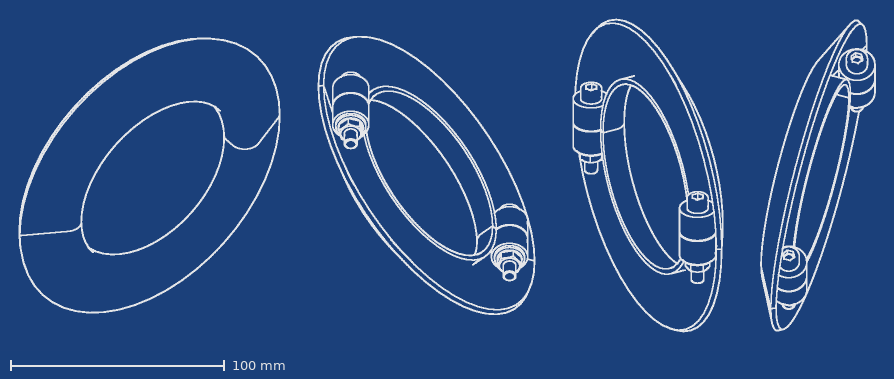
import cadquery as cq
import math


BARREL_DIAMETER = 17.0
BARREL_TOP = 12.9
BARREL_GAP = 0.5
SCREW_Y = 55.5

DEPTH = 23.0
RING_BACK_X = DEPTH - BARREL_DIAMETER / 2
RING_RADIUS = 75.0
BORE_RADIUS = 44.4
WALL = 2.5
BEND_OUTER_RADIUS = 7.0
CONE_ANGLE = math.radians(28)

SHANK_RADIUS = 3.0
SHANK_LENGTH = 39.6
TIP_CHAMFER = 0.5
HEAD_RADIUS = 5.0
HEAD_HEIGHT = 6.3
HEAD_FILLET = 0.9
SOCKET_FLATS = 5.0
SOCKET_DEPTH = 3.0
DRILL_RADIUS = 2.2
DRILL_SLOPE = math.radians(30)

NUT_FLATS = 10.0
NUT_HEIGHT = 6.3
CORNER_BEVEL_HEIGHT = 0.6
CORNER_BEVEL_WIDTH = 1.0
FLANGE_RADIUS = 7.0
FLANGE_HEIGHT = 1.8
FLANGE_TAPER_HEIGHT = 0.5
FLANGE_TAPER_WIDTH = 1.2

SIDES = (1, -1)
DIRECTIONS = (1, -1)
NUT_TURNS = {1: 0, -1: 30}

HEX_CORNER_RATIO = 2 / math.sqrt(3)


def make_ring():
    """Cone, bend and bore tube of constant wall, turned about X."""
    bend_x = RING_BACK_X - BEND_OUTER_RADIUS
    bend_r = BORE_RADIUS + BEND_OUTER_RADIUS
    bend_inner_radius = BEND_OUTER_RADIUS - WALL

    def on_bend(radius, angle):
        return (bend_x + radius * math.cos(angle), bend_r + radius * math.sin(angle))

    middle_angle = (CONE_ANGLE - math.pi / 2) / 2
    cone_end = on_bend(BEND_OUTER_RADIUS, CONE_ANGLE)
    rim_x = cone_end[0] - (RING_RADIUS - cone_end[1]) * math.tan(CONE_ANGLE)
    front_x = rim_x - WALL * math.cos(CONE_ANGLE)
    rim_inner_radius = RING_RADIUS - WALL * math.sin(CONE_ANGLE)
    return (
        cq.Workplane("XY")
        .moveTo(front_x, BORE_RADIUS)
        .lineTo(bend_x, BORE_RADIUS)
        .threePointArc(on_bend(BEND_OUTER_RADIUS, middle_angle), cone_end)
        .lineTo(rim_x, RING_RADIUS)
        .lineTo(front_x, rim_inner_radius)
        .lineTo(*on_bend(bend_inner_radius, CONE_ANGLE))
        .threePointArc(on_bend(bend_inner_radius, middle_angle), (bend_x, BORE_RADIUS + WALL))
        .lineTo(front_x, BORE_RADIUS + WALL)
        .close()
        .revolve(360, (0, 0, 0), (1, 0, 0))
    )


def make_half_ring(ring, direction):
    """Half of the ring above (direction 1) or below (direction -1) the split."""
    size = 2 * RING_RADIUS
    half_space = cq.Workplane("XY").box(size, size, size).translate((0, 0, direction * size / 2))
    return ring.intersect(half_space)


def make_barrel(side, direction):
    """Plain sleeve around the screw, above or below the split."""
    half_gap = BARREL_GAP / 2
    return (
        cq.Workplane("XY", origin=(0, side * SCREW_Y, direction * half_gap))
        .circle(BARREL_DIAMETER / 2)
        .circle(SHANK_RADIUS)
        .extrude(direction * (BARREL_TOP - half_gap))
    )


def make_screw(side):
    """Socket head screw whose head sits on the upper barrel."""
    seat = cq.Workplane("XY", origin=(0, side * SCREW_Y, BARREL_TOP))
    head = seat.circle(HEAD_RADIUS).extrude(HEAD_HEIGHT).faces(">Z").edges().fillet(HEAD_FILLET)
    shank = seat.circle(SHANK_RADIUS).extrude(-SHANK_LENGTH).faces("<Z").chamfer(TIP_CHAMFER)

    socket_floor = HEAD_HEIGHT - SOCKET_DEPTH
    socket = (
        seat.workplane(offset=socket_floor)
        .polygon(6, SOCKET_FLATS * HEX_CORNER_RATIO)
        .extrude(SOCKET_DEPTH)
    )
    drill_point = cq.Solid.makeCone(
        DRILL_RADIUS,
        0,
        DRILL_RADIUS * math.tan(DRILL_SLOPE),
        pnt=cq.Vector(0, side * SCREW_Y, BARREL_TOP + socket_floor),
        dir=cq.Vector(0, 0, -1),
    )
    return head.union(shank).cut(socket).cut(cq.Workplane(drill_point))


def make_nut(side):
    """Hexagon nut with a tapered flange that bears on the lower barrel."""
    seat = cq.Workplane("XY", origin=(0, 0, -BARREL_TOP))
    corner_diameter = NUT_FLATS * HEX_CORNER_RATIO
    beveled_rod = (
        seat.circle(corner_diameter / 2)
        .extrude(-NUT_HEIGHT)
        .faces("<Z")
        .chamfer(CORNER_BEVEL_HEIGHT, CORNER_BEVEL_WIDTH)
    )
    hexagon = seat.polygon(6, corner_diameter).extrude(-NUT_HEIGHT).intersect(beveled_rod)
    flange = (
        seat.circle(FLANGE_RADIUS)
        .extrude(-FLANGE_HEIGHT)
        .faces("<Z")
        .chamfer(FLANGE_TAPER_HEIGHT, FLANGE_TAPER_WIDTH)
    )
    bore = seat.circle(SHANK_RADIUS).extrude(-NUT_HEIGHT)
    nut = hexagon.union(flange).cut(bore)
    return nut.rotate((0, 0, 0), (0, 0, 1), NUT_TURNS[side]).translate((0, side * SCREW_Y, 0))


ring = make_ring()
half_rings = [make_half_ring(ring, direction) for direction in DIRECTIONS]
barrels = [make_barrel(side, direction) for side in SIDES for direction in DIRECTIONS]
screws = [make_screw(side) for side in SIDES]
nuts = [make_nut(side) for side in SIDES]

bodies = half_rings + barrels + screws + nuts
result = cq.Compound.makeCompound([body.solids().val() for body in bodies])